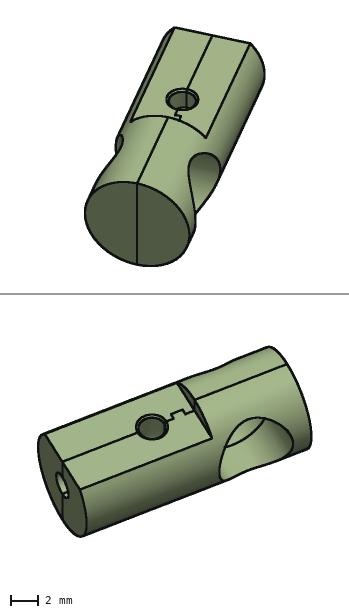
import cadquery as cq
import math

length = 18.3
rod_diameter = 8.0
rod_radius = rod_diameter / 2

flat_start = 7.54
flat_height = 2.76

cross_hole_diameter = 6.0
cross_hole_y = 4.5

bore_diameter = 2.0
bore_radius = bore_diameter / 2
bore_y = 11.0
bend_radius = 1.19
countersink = 0.16

key_start = 8.29
key_width = 0.95
key_height = 0.45


def make_rod():
    """Full rod with the flat and the hole across it."""
    rod = cq.Workplane("XZ").circle(rod_radius).extrude(-length)
    above_flat = cq.Workplane("XY").box(
        rod_diameter, length - flat_start, rod_radius - flat_height, centered=(True, False, False)
    ).translate((0, flat_start, flat_height))
    cross_hole = (
        cq.Workplane("YZ")
        .center(cross_hole_y, 0)
        .circle(cross_hole_diameter / 2)
        .extrude(rod_radius, both=True)
    )
    return rod.cut(above_flat).cut(cross_hole)


def make_channel():
    """Cutter that runs from the flat down the bore, round the bend and out of the rear end."""
    bend_start = (bore_y, bend_radius)
    bend_middle = (
        bore_y + bend_radius * (1 - math.cos(math.pi / 4)),
        bend_radius * (1 - math.sin(math.pi / 4)),
    )
    bend_end = (bore_y + bend_radius, 0)
    path = (
        cq.Workplane("YZ")
        .moveTo(bore_y, flat_height)
        .lineTo(*bend_start)
        .threePointArc(bend_middle, bend_end)
        .lineTo(length, 0)
    )
    return cq.Workplane("XY", origin=(0, bore_y, flat_height)).circle(bore_radius).sweep(path)


def make_countersink():
    """Cutter for the 45 degree countersink where the bore meets the flat."""
    rim_radius = bore_radius + countersink
    cone = cq.Solid.makeCone(bore_radius, rim_radius, countersink)
    return cq.Workplane(cone.translate(cq.Vector(0, bore_y, flat_height - countersink)))


def make_left_region():
    """Space left of the split, including the key."""
    side = cq.Workplane("XY").box(
        rod_radius, length, rod_diameter, centered=(False, False, True)
    ).translate((-rod_radius, 0, 0))
    key = cq.Workplane("XY").box(
        key_height, key_width, rod_diameter, centered=(False, False, True)
    ).translate((0, key_start, 0))
    return side.union(key)


drilled_rod = make_rod().cut(make_channel()).cut(make_countersink())
left_region = make_left_region()
left_half = drilled_rod.intersect(left_region)
right_half = drilled_rod.cut(left_region)

result = cq.Compound.makeCompound([left_half.val(), right_half.val()])